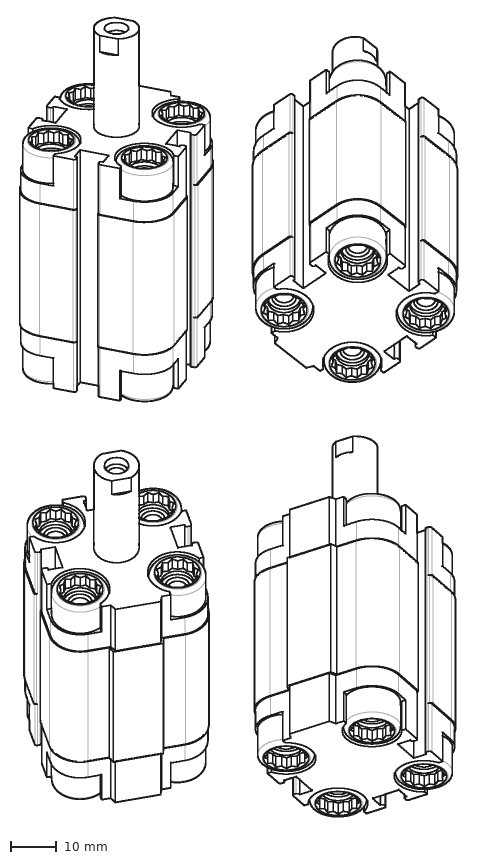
import cadquery as cq
import math

total_height = 82.5
housing_height = 58.0
end_cap_height = 12.45

barrel_half_width = 18.0
cap_inset = 0.25
cap_half_width = barrel_half_width - cap_inset
screw_spacing = 22.0
screw_offset = screw_spacing / 2

barrel_tab_top = 19.55
barrel_tab_top_half_width = 5.6
barrel_tab_base_half_width = 6.2
cap_tab_top = barrel_tab_top - cap_inset
cap_tab_top_half_width = 5.1
cap_tab_base_half_width = 5.8
tab_root = 16.5

slot_floor_distance = 13.0
slot_lip_distance = 16.25
slot_half_width = 3.4
slot_mouth_half_width = 2.6
slot_lip_rounding = 0.5

pocket_depth = 7.5
pocket_wall_distance = 7.8
pocket_diameter = 13.0
head_diameter = 12.5
head_rounding = 1.0
head_recess = 0.1
socket_mouth_diameter = 10.0
socket_mouth_half_angle = 60.0
hole_lead_in_half_angle = 45.0
socket_across_flats = 8.1
socket_depth = 3.0
head_bore_diameter = 7.2
head_bore_depth = 4.0
screw_hole_diameter = 4.1
hole_lead_in_diameter = 5.3

rod_diameter = 10.0
rod_flats_width = 9.0
rod_flats_length = 4.05
rod_bore_diameter = 5.3
rod_bore_depth = 2.0
rod_hole_diameter = 4.1
rod_hole_depth = 12.0
drill_half_angle = 60.0


def tapered_tab(half_width, top, top_half_width, base_half_width, height):
    """Tab with sloping sides, rooted inside the +Y side of the housing."""
    return (
        cq.Workplane("XY")
        .moveTo(-base_half_width, tab_root)
        .lineTo(-base_half_width, half_width)
        .lineTo(-top_half_width, top)
        .lineTo(top_half_width, top)
        .lineTo(base_half_width, half_width)
        .lineTo(base_half_width, tab_root)
        .close()
        .extrude(height)
    )


def slot_cutter(half_width, height):
    """T-slot space on the -Y side, with both edges of each lip rounded."""
    mouth = slot_mouth_half_width
    rounding = slot_lip_rounding
    shoulder = mouth + rounding
    return (
        cq.Workplane("XY")
        .moveTo(-shoulder, -half_width)
        .radiusArc((-mouth, -half_width + rounding), -rounding)
        .lineTo(-mouth, -slot_lip_distance - rounding)
        .radiusArc((-shoulder, -slot_lip_distance), -rounding)
        .lineTo(-slot_half_width, -slot_lip_distance)
        .lineTo(-slot_half_width, -slot_floor_distance)
        .lineTo(slot_half_width, -slot_floor_distance)
        .lineTo(slot_half_width, -slot_lip_distance)
        .lineTo(shoulder, -slot_lip_distance)
        .radiusArc((mouth, -slot_lip_distance - rounding), -rounding)
        .lineTo(mouth, -half_width + rounding)
        .radiusArc((shoulder, -half_width), -rounding)
        .close()
        .extrude(height)
    )


def housing_section(half_width, tab_top, tab_top_half_width, tab_base_half_width, bottom, top):
    """Length of the housing: a rounded square with its tab and three T-slots."""
    height = top - bottom
    section = (
        cq.Workplane("XY")
        .rect(2 * half_width, 2 * half_width)
        .extrude(height)
        .edges("|Z")
        .fillet(half_width - screw_offset)
    )
    section = section.union(
        tapered_tab(half_width, tab_top, tab_top_half_width, tab_base_half_width, height)
    )
    for angle in (-90, 0, 90):
        section = section.cut(slot_cutter(half_width, height).rotate((0, 0, 0), (0, 0, 1), angle))
    return section.translate((0, 0, bottom))


def cone(top_radius, bottom_radius, half_angle, top):
    """Cone that narrows downward from the height `top`."""
    depth = (top_radius - bottom_radius) / math.tan(math.radians(half_angle))
    solid = cq.Solid.makeCone(bottom_radius, top_radius, depth, cq.Vector(0, 0, top - depth))
    return cq.Workplane(solid)


def corner_pocket():
    """Space around a screw head in the top +X +Y corner, below the plane Z = 0."""
    reach = barrel_half_width - pocket_wall_distance
    near_corner = pocket_wall_distance - screw_offset
    corner = cq.Workplane("XY").box(reach, reach, pocket_depth, centered=False)
    corner = corner.translate((near_corner, near_corner, -pocket_depth))
    clearance = cq.Workplane("XY").circle(pocket_diameter / 2).extrude(-pocket_depth)
    return corner.union(clearance)


def screw_head():
    """Round-edged screw head with its top at Z = 0."""
    return (
        cq.Workplane("XY")
        .circle(head_diameter / 2)
        .extrude(head_recess - pocket_depth)
        .faces(">Z")
        .edges()
        .fillet(head_rounding)
    )


def screw_socket():
    """Twelve-point socket, its conical mouth and the stepped bore below it."""
    across_corners = socket_across_flats / math.cos(math.pi / 6)
    hexagon = cq.Workplane("XY").polygon(6, across_corners).extrude(-socket_depth)
    turned_hexagon = hexagon.rotate((0, 0, 0), (0, 0, 1), 30)
    mouth = cone(socket_mouth_diameter / 2, head_bore_diameter / 2, socket_mouth_half_angle, 0)
    bore = cq.Workplane("XY").circle(head_bore_diameter / 2).extrude(-head_bore_depth)
    lead_in = cone(
        hole_lead_in_diameter / 2, screw_hole_diameter / 2, hole_lead_in_half_angle, -head_bore_depth
    )
    return hexagon.union(turned_hexagon).union(mouth).union(bore).union(lead_in)


def at_every_corner(shape, recess=0):
    """Copies of a +X +Y corner shape at the four corners of both end faces, sunk by the recess."""
    top_shape = shape.translate((screw_offset, screw_offset, housing_height - recess))
    bottom_shape = top_shape.mirror("XY", (0, 0, housing_height / 2))
    return [
        end_shape.rotate((0, 0, 0), (0, 0, 1), angle)
        for end_shape in (top_shape, bottom_shape)
        for angle in (0, 90, 180, 270)
    ]


def make_housing():
    barrel_top = housing_height - end_cap_height
    cap_sizes = (cap_half_width, cap_tab_top, cap_tab_top_half_width, cap_tab_base_half_width)
    body = housing_section(
        barrel_half_width,
        barrel_tab_top,
        barrel_tab_top_half_width,
        barrel_tab_base_half_width,
        end_cap_height,
        barrel_top,
    )
    body = body.union(housing_section(*cap_sizes, 0, end_cap_height))
    body = body.union(housing_section(*cap_sizes, barrel_top, housing_height))

    for pocket in at_every_corner(corner_pocket()):
        body = body.cut(pocket)
    for head in at_every_corner(screw_head(), head_recess):
        body = body.union(head)
    for socket in at_every_corner(screw_socket(), head_recess):
        body = body.cut(socket)

    screw_holes = (
        cq.Workplane("XY")
        .rect(screw_spacing, screw_spacing, forConstruction=True)
        .vertices()
        .circle(screw_hole_diameter / 2)
        .extrude(housing_height)
    )
    rod_hole = (
        cq.Workplane("XY", origin=(0, 0, barrel_top))
        .circle(rod_diameter / 2)
        .extrude(end_cap_height)
    )
    return body.cut(screw_holes).cut(rod_hole).clean()


def make_rod():
    rod_bottom = housing_height - end_cap_height
    body = (
        cq.Workplane("XY", origin=(0, 0, rod_bottom))
        .circle(rod_diameter / 2)
        .extrude(total_height - rod_bottom)
    )

    flats_bottom = total_height - rod_flats_length
    flats_cutter = (
        cq.Workplane("XY", origin=(0, 0, flats_bottom))
        .rect(rod_diameter, rod_diameter)
        .rect(rod_diameter, rod_flats_width)
        .extrude(rod_flats_length)
    )
    body = body.cut(flats_cutter)

    bore_radius = rod_bore_diameter / 2
    hole_radius = rod_hole_diameter / 2
    shoulder_depth = rod_bore_depth + bore_radius - hole_radius
    point_depth = rod_hole_depth + hole_radius / math.tan(math.radians(drill_half_angle))
    hole = (
        cq.Workplane("XZ")
        .polyline(
            [
                (0, total_height),
                (bore_radius, total_height),
                (bore_radius, total_height - rod_bore_depth),
                (hole_radius, total_height - shoulder_depth),
                (hole_radius, total_height - rod_hole_depth),
                (0, total_height - point_depth),
            ]
        )
        .close()
        .revolve(360, (0, 0, 0), (0, 1, 0))
    )
    return body.cut(hole)


housing = make_housing()
rod = make_rod()
result = cq.Compound.makeCompound([housing.val(), rod.val()])